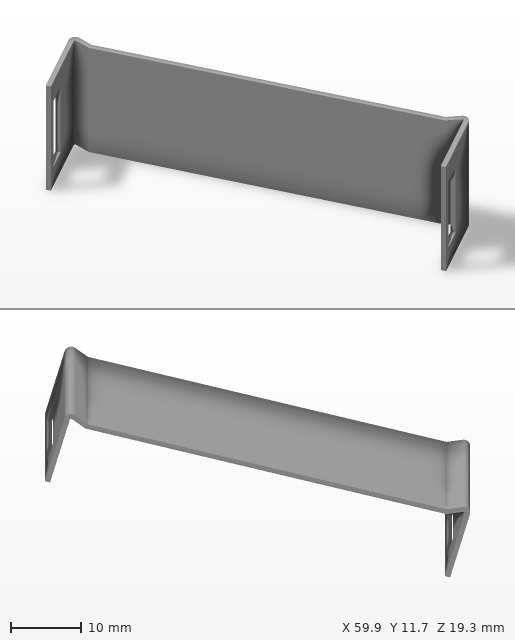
import cadquery as cq
import math

LENGTH = 59.9
DEPTH = 11.7
HEIGHT = 19.3

THICKNESS = 0.8
INNER_RADIUS = 0.2
OUTER_RADIUS = INNER_RADIUS + THICKNESS
SLOPE_ANGLE = math.radians(24)
WEB_SETBACK = 1.0

SLOT_DEPTH = 3.4
SLOT_HEIGHT = 12.1
SLOT_EDGE_GAP = 1.1

slope = math.tan(SLOPE_ANGLE)
leg_outer_x = -LENGTH / 2
leg_inner_x = leg_outer_x + THICKNESS
web_back_y = DEPTH - WEB_SETBACK
web_front_y = web_back_y - THICKNESS
bend_center_x = leg_outer_x + OUTER_RADIUS
bend_center_y = DEPTH - OUTER_RADIUS
ramp_y_over_center = bend_center_y + OUTER_RADIUS / math.cos(SLOPE_ANGLE)
crest_outer_y = ramp_y_over_center + OUTER_RADIUS * slope
crest_inner_y = crest_outer_y - THICKNESS * slope - THICKNESS / math.cos(SLOPE_ANGLE)
web_back_x = bend_center_x + (ramp_y_over_center - web_back_y) / slope
web_front_x = web_back_x - THICKNESS * math.tan(SLOPE_ANGLE / 2)


def make_sheet():
    """Folded strip with sharp corners, centred in X and Z."""
    outer = [(leg_outer_x, 0), (leg_outer_x, crest_outer_y), (web_back_x, web_back_y)]
    inner = [(web_front_x, web_front_y), (leg_inner_x, crest_inner_y), (leg_inner_x, 0)]
    right_outer = [(-x, y) for x, y in reversed(outer)]
    right_inner = [(-x, y) for x, y in reversed(inner)]
    outline = outer + right_outer + right_inner + inner
    return cq.Workplane("XY").polyline(outline).close().extrude(HEIGHT / 2, both=True)


def round_corners(body, corner, radius):
    """Round the vertical edge at a corner and its mirror image."""
    x, y = corner
    for side in (1, -1):
        edge = cq.selectors.NearestToPointSelector((side * x, y, 0))
        body = body.edges("|Z").edges(edge).fillet(radius)
    return body


def make_slots():
    """One bar that cuts the slots in both legs."""
    center_y = SLOT_EDGE_GAP + SLOT_DEPTH / 2
    return cq.Workplane("XY").box(LENGTH, SLOT_DEPTH, SLOT_HEIGHT).translate((0, center_y, 0))


result = make_sheet()
result = round_corners(result, (leg_outer_x, crest_outer_y), OUTER_RADIUS)
result = round_corners(result, (leg_inner_x, crest_inner_y), INNER_RADIUS)
result = round_corners(result, (web_front_x, web_front_y), OUTER_RADIUS)
result = round_corners(result, (web_back_x, web_back_y), INNER_RADIUS)
result = result.cut(make_slots())